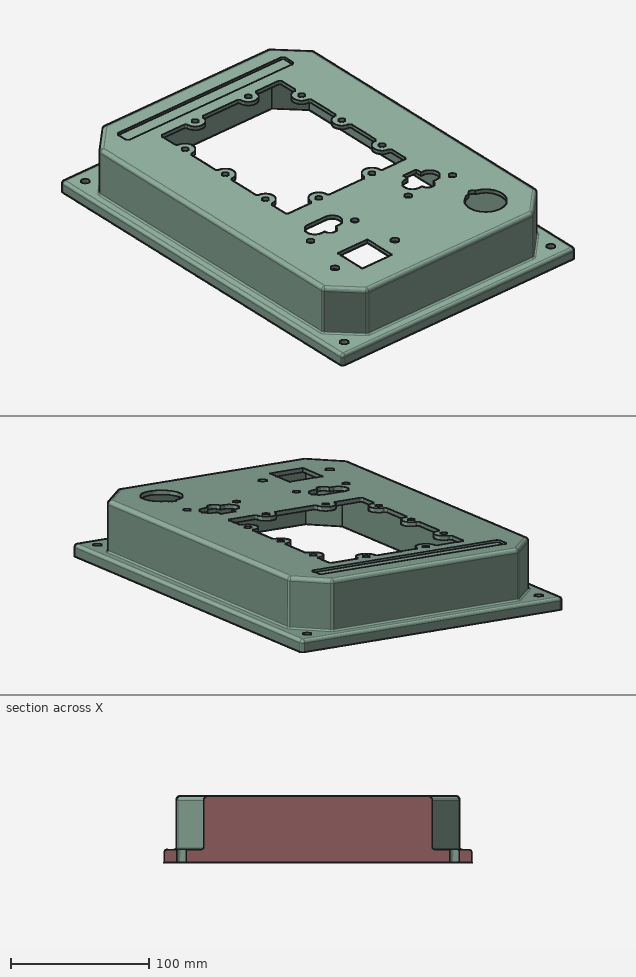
import cadquery as cq
import math

flange_length = 311.59
flange_width = 222.69
flange_height = 9.525
flange_edge_radius = 2.54
flange_hole_diameter = 6.35
flange_hole_inset = 12.7

total_height = 48.26
housing_length = 292.8
housing_width = 204.9
housing_corner_cut = 23.0
housing_corner_radius = 3.175
housing_top_radius = 3.175
housing_base_radius = 1.27
wall_thickness = 6.35
top_thickness = 3.175

window_x = -38.1
window_length = 139.7
window_height = 114.3
window_corner_radius = 1.8
tab_radius = 7.5
tab_hole_diameter = 5.1
tab_hole_inset = 1.5
tab_pitch_x = 44.45
tab_pitch_y = 50.8

label_x = -124.5
label_width = 12.4
label_length = 159.4
label_depth = 1.5
label_corner_radius = 2.4
label_wall_inset = 0.6

connector_x = 60.0
connector_y = 46.6
connector_slot_width = 14.7
connector_slot_length = 31.4
connector_key_x = 67.2
connector_key_radius = 5.2
connector_screw_x = 70.2
connector_screw_pitch = 42.2
connector_screw_diameter = 5.6
side_notch_left_x = 47.5
side_notch_height = 12.4

round_x = 112.0
round_y = 63.4
round_diameter = 30.7
round_key_radius = 3.2
round_key_offset = 14.3

square_x = 109.2
square_y = -49.6
square_length = 27.2
square_height = 28.3
square_screw_pitch = 57.2
square_screw_diameter = 6.35

cavity_height = total_height - top_thickness


def cut_corner_prism(length, width, corner_cut, height):
    """Rectangular prism on the base plane with its four upright edges cut at 45 degrees."""
    return cq.Workplane("XY").rect(length, width).extrude(height).edges("|Z").chamfer(corner_cut)


def through_prism(outline):
    """Extrude a closed outline from the base plane through the whole height."""
    return outline.extrude(total_height)


def through_holes(points, diameter):
    """Round cutters through the whole height at the given points."""
    return through_prism(cq.Workplane("XY").pushPoints(points).circle(diameter / 2))


def make_flange():
    flange = cq.Workplane("XY").rect(flange_length, flange_width).extrude(flange_height)
    return flange.edges("|Z or >Z").fillet(flange_edge_radius)


def make_housing():
    housing = cut_corner_prism(housing_length, housing_width, housing_corner_cut, total_height)
    housing = housing.edges("|Z").fillet(housing_corner_radius)
    return housing.faces(">Z").edges().fillet(housing_top_radius)


def blend_housing_base(body):
    """Round the inside corner where the housing wall meets the flange top."""
    margin = housing_base_radius
    half_length = housing_length / 2 + margin
    half_width = housing_width / 2 + margin
    foot_edges = cq.selectors.BoxSelector(
        (-half_length, -half_width, flange_height - margin),
        (half_length, half_width, flange_height + margin),
        boundingbox=True,
    )
    return body.edges(foot_edges).fillet(housing_base_radius)


def make_cavity():
    """Interior of the housing, open at the bottom."""
    corner_cut = housing_corner_cut - wall_thickness * (2 - math.sqrt(2))
    return cut_corner_prism(
        housing_length - 2 * wall_thickness,
        housing_width - 2 * wall_thickness,
        corner_cut,
        cavity_height,
    )


def tab_points():
    """Centres of the tabs: three along each long side, two along each short side."""
    x_offset = window_length / 2 - tab_hole_inset
    y_offset = window_height / 2 - tab_hole_inset
    points = []
    for side in (-1, 1):
        for step in (-1, 0, 1):
            points.append((window_x + step * tab_pitch_x, side * y_offset))
        for step in (-0.5, 0.5):
            points.append((window_x + side * x_offset, step * tab_pitch_y))
    return points


def make_window():
    opening = cq.Workplane("XY").center(window_x, 0).rect(window_length, window_height)
    window = through_prism(opening)
    window = window.cut(through_holes(tab_points(), 2 * tab_radius))
    return window.edges("|Z").fillet(window_corner_radius)


def make_label_recess():
    """Shallow recess whose walls lean in towards its floor."""
    outline = cq.Sketch().rect(label_width, label_length).vertices().fillet(label_corner_radius)
    wall_angle = math.degrees(math.atan(label_wall_inset / label_depth))
    mouth = cq.Workplane("XY", origin=(label_x, 0, total_height))
    return mouth.placeSketch(outline).extrude(-label_depth, taper=wall_angle)


def make_connector_opening(y):
    """Upright slot with a round key on its right and a screw hole at each end."""
    slot = through_prism(
        cq.Workplane("XY").center(connector_x, y).slot2D(connector_slot_length, connector_slot_width, 90)
    )
    key = through_holes([(connector_key_x, y)], 2 * connector_key_radius)
    screw_points = [(connector_screw_x, y + side * connector_screw_pitch / 2) for side in (-1, 1)]
    return slot.union(key).union(through_holes(screw_points, connector_screw_diameter))


def make_side_notch():
    """Rectangular widening on the left of the upper connector opening."""
    length = connector_x - side_notch_left_x
    outline = cq.Workplane("XY").center(connector_x - length / 2, connector_y)
    return through_prism(outline.rect(length, side_notch_height))


def make_round_opening():
    opening = through_holes([(round_x, round_y)], round_diameter)
    key = through_holes([(round_x - round_key_offset, round_y)], 2 * round_key_radius)
    return opening.union(key)


def make_square_opening():
    outline = cq.Workplane("XY").center(square_x, square_y).rect(square_length, square_height)
    screw_points = [(square_x, square_y + side * square_screw_pitch / 2) for side in (-1, 1)]
    return through_prism(outline).union(through_holes(screw_points, square_screw_diameter))


flange_hole_x = flange_length / 2 - flange_hole_inset
flange_hole_y = flange_width / 2 - flange_hole_inset
flange_hole_points = [(sx * flange_hole_x, sy * flange_hole_y) for sx in (-1, 1) for sy in (-1, 1)]

body = blend_housing_base(make_flange().union(make_housing()))

cutters = [
    make_cavity(),
    through_holes(flange_hole_points, flange_hole_diameter),
    make_window(),
    through_holes(tab_points(), tab_hole_diameter),
    make_label_recess(),
    make_connector_opening(connector_y),
    make_connector_opening(-connector_y),
    make_side_notch(),
    make_round_opening(),
    make_square_opening(),
]
for cutter in cutters:
    body = body.cut(cutter)

result = body